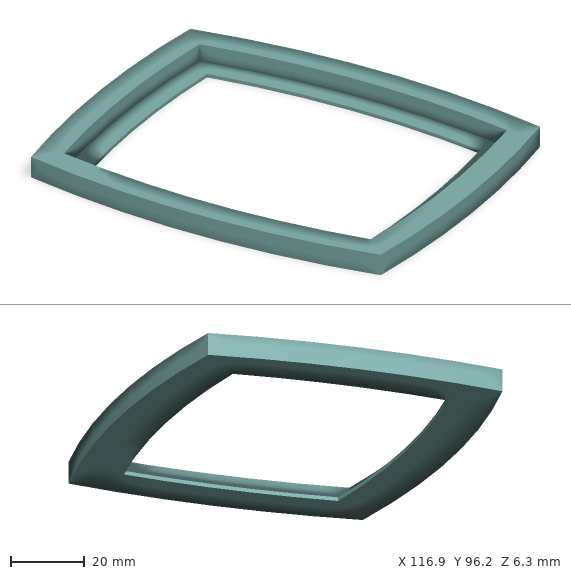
import cadquery as cq

length = 116.9
width = 96.2
corner_length = 110.4
corner_width = 85.2

height = 6.3
rim_width = 7.5
ledge_width = 6.1
ledge_thickness = 1.0


def bowed_plate(inset, thickness):
    """Plate whose bowed outline lies a constant inset inside the outer outline."""
    corner_x = corner_length / 2
    corner_y = corner_width / 2
    outline = (
        cq.Workplane("XY")
        .moveTo(-corner_x, -corner_y)
        .threePointArc((0, -width / 2), (corner_x, -corner_y))
        .threePointArc((length / 2, 0), (corner_x, corner_y))
        .threePointArc((0, width / 2), (-corner_x, corner_y))
        .threePointArc((-length / 2, 0), (-corner_x, -corner_y))
        .close()
    )
    if inset > 0:
        outline = outline.offset2D(-inset)
    return outline.extrude(thickness)


body = bowed_plate(0, height)

recess = bowed_plate(rim_width, height).translate((0, 0, ledge_thickness))

opening = bowed_plate(rim_width + ledge_width, height)

result = body.cut(recess).cut(opening)